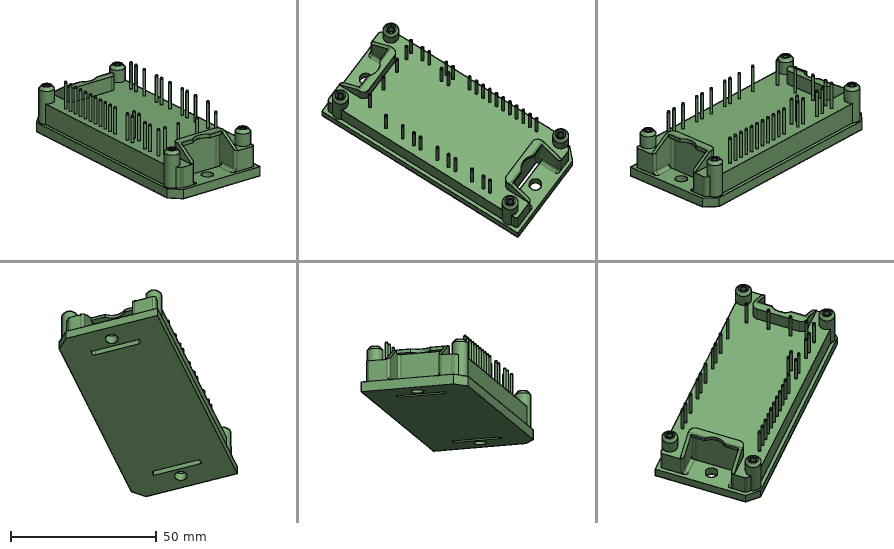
import cadquery as cq
import math

PLATE_LENGTH = 82.0
PLATE_WIDTH = 37.4
PLATE_HEIGHT = 3.5
PLATE_CORNER_CUT = 4.0

BODY_INSET = 1.3
BODY_LENGTH = PLATE_LENGTH - 2 * BODY_INSET
BODY_WIDTH = PLATE_WIDTH - 2 * BODY_INSET
BODY_END_X = BODY_LENGTH / 2
BODY_TOP = 11.2
BODY_CORNER_CUT = 3.2
BODY_CORNER_RADIUS = 1.0

BOSS_X = 35.5
BOSS_Y = 15.4
BOSS_DIAMETER = 5.5
BOSS_TOP = 17.05
BOSS_TIP_DIAMETER = 3.5
BOSS_TIP_HEIGHT = 1.2
BOSS_HOLE_DIAMETER = 2.4
BOSS_HOLE_DEPTH = 8.0
BOSS_HOLE_CORE_DIAMETER = 1.9
BOSS_HOLE_ENTRY_DEPTH = 0.4

MOUNT_HOLE_DIAMETER = 4.3
MOUNT_HOLE_X = BOSS_X
WALL_TOP = 16.5
WALL_THICKNESS = 1.25
WALL_BACK_X = 28.85
WALL_HALF_WIDTH = 10.0
WALL_CORNER_RADIUS = 2.2
RECESS_BACK_X = WALL_BACK_X + WALL_THICKNESS
RECESS_HALF_WIDTH = WALL_HALF_WIDTH - WALL_THICKNESS
RECESS_CORNER_RADIUS = WALL_CORNER_RADIUS - WALL_THICKNESS
SLOPE_OUTER_Z = 11.4
SLOPE_TOP_X = 32.0
SLOPE_CREST_RADIUS = 1.6
MOUTH_RADIUS = 1.0
MOUTH_CENTRE_X = BODY_END_X - MOUTH_RADIUS
MOUTH_CENTRE_Y = RECESS_HALF_WIDTH + MOUTH_RADIUS
FOOT_RADIUS = 1.25

FLOOR_EDGE_X = 32.1
LIP_BOTTOM = 15.15
LIP_NOTCH_RADIUS = 5.0

PIN_DIAMETER = 1.0
PIN_TOP = 21.23
PIN_CHAMFER_HEIGHT = 0.5
PIN_CHAMFER_WIDTH = 0.2
PIN_PITCH = 2.8
FIRST_PIN_X = -26.25
END_ROW_X = 26.25
PIN_ROW_Y = 14.2
SECOND_ROW_Y = -PIN_ROW_Y + PIN_PITCH

BACK_ROW_XS = [FIRST_PIN_X, -23.45, -18.75, -11.75, -8.95, -4.25, 2.75, 5.55, 10.25, 17.25]
COMB_PIN_COUNT = 11
INNER_PAIR_X = 8.75
OUTER_PAIR_X = 18.65
INNER_PAIR_XS = [INNER_PAIR_X, INNER_PAIR_X + PIN_PITCH]
OUTER_PAIR_XS = [OUTER_PAIR_X, OUTER_PAIR_X + PIN_PITCH]
END_ROW_YS = [-PIN_ROW_Y, SECOND_ROW_Y, -5.55, 2.6, 10.75]


def box(x_range, y_range, z_range):
    """Axis-aligned box between the given limits."""
    size = [high - low for low, high in (x_range, y_range, z_range)]
    return cq.Workplane("XY").box(*size, centered=False).translate((x_range[0], y_range[0], z_range[0]))


def cylinder(x, y, diameter, z_low, z_high):
    """Upright cylinder between two heights."""
    return cq.Workplane("XY", origin=(x, y, z_low)).circle(diameter / 2).extrude(z_high - z_low)


def clipped_block(length, width, corner_cut, z_low, z_high):
    """Block whose two -Y corners are cut at 45 degrees."""
    half_length = length / 2
    half_width = width / 2
    outline = [
        (-half_length, half_width),
        (half_length, half_width),
        (half_length, -half_width + corner_cut),
        (half_length - corner_cut, -half_width),
        (-half_length + corner_cut, -half_width),
        (-half_length, -half_width + corner_cut),
    ]
    return cq.Workplane("XY", origin=(0, 0, z_low)).polyline(outline).close().extrude(z_high - z_low)


def make_body():
    """Housing body with its end edges rounded."""
    body = clipped_block(BODY_LENGTH, BODY_WIDTH, BODY_CORNER_CUT, PLATE_HEIGHT, BODY_TOP)
    return body.edges("|Z and (<X or >X)").fillet(BODY_CORNER_RADIUS)


def make_boss(x, y):
    """Corner boss with a tapered tip."""
    tip_width = (BOSS_DIAMETER - BOSS_TIP_DIAMETER) / 2
    boss = cylinder(x, y, BOSS_DIAMETER, PLATE_HEIGHT, BOSS_TOP)
    return boss.faces(">Z").chamfer(BOSS_TIP_HEIGHT, tip_width)


def make_boss_hole(x, y):
    """Stepped blind hole from the top of a boss."""
    core = cylinder(x, y, BOSS_HOLE_CORE_DIAMETER, BOSS_TOP - BOSS_HOLE_DEPTH, BOSS_TOP)
    return core.union(cylinder(x, y, BOSS_HOLE_DIAMETER, BOSS_TOP - BOSS_HOLE_ENTRY_DEPTH, BOSS_TOP))


def make_wall():
    """Raised block of the +X end, sloping down to the end of the body."""
    y_range = (-WALL_HALF_WIDTH, WALL_HALF_WIDTH)
    block = box((WALL_BACK_X, BODY_END_X), y_range, (PLATE_HEIGHT, WALL_TOP))
    block = block.edges("|Z and <X").fillet(WALL_CORNER_RADIUS)
    profile = [
        (WALL_BACK_X, PLATE_HEIGHT),
        (BODY_END_X, PLATE_HEIGHT),
        (BODY_END_X, SLOPE_OUTER_Z),
        (SLOPE_TOP_X, WALL_TOP),
        (WALL_BACK_X, WALL_TOP),
    ]
    slope = cq.Workplane("XZ").polyline(profile).close().extrude(WALL_HALF_WIDTH, both=True)
    crest = cq.selectors.NearestToPointSelector((SLOPE_TOP_X, 0, WALL_TOP))
    return block.intersect(slope.edges(crest).fillet(SLOPE_CREST_RADIUS))


def make_recess():
    """Space inside the wall of the +X end, under and in front of the lip."""
    y_range = (-RECESS_HALF_WIDTH, RECESS_HALF_WIDTH)
    under_lip = box((RECESS_BACK_X, BODY_END_X), y_range, (PLATE_HEIGHT, LIP_BOTTOM))
    under_lip = under_lip.edges("|Z and <X").fillet(RECESS_CORNER_RADIUS)
    in_front = box((FLOOR_EDGE_X, BODY_END_X), y_range, (PLATE_HEIGHT, WALL_TOP))
    notch = cylinder(MOUNT_HOLE_X, 0, 2 * LIP_NOTCH_RADIUS, LIP_BOTTOM, WALL_TOP)
    return under_lip.union(in_front).union(notch)


def make_plate_opening():
    """Opening through the plate below the lip of the +X end."""
    y_range = (-RECESS_HALF_WIDTH, RECESS_HALF_WIDTH)
    opening = box((RECESS_BACK_X, FLOOR_EDGE_X), y_range, (0, PLATE_HEIGHT))
    return opening.edges("|Z and <X").fillet(RECESS_CORNER_RADIUS)


def make_end_rounding():
    """Material outside the rounded upright edge at the +X, +Y mouth of the recess."""
    corner = box((MOUTH_CENTRE_X, BODY_END_X), (RECESS_HALF_WIDTH, MOUTH_CENTRE_Y), (PLATE_HEIGHT, WALL_TOP))
    return corner.cut(cylinder(MOUTH_CENTRE_X, MOUTH_CENTRE_Y, 2 * MOUTH_RADIUS, PLATE_HEIGHT, WALL_TOP))


def foot_profile():
    """Cross-section of the foot in the YZ plane, beside the axis of the rounded mouth edge."""
    wall_y = -MOUTH_RADIUS
    middle = FOOT_RADIUS * (1 - math.sqrt(0.5))
    return (
        cq.Workplane("YZ", origin=(MOUTH_CENTRE_X, MOUTH_CENTRE_Y, PLATE_HEIGHT))
        .moveTo(wall_y, 0)
        .lineTo(wall_y, FOOT_RADIUS)
        .threePointArc((wall_y - middle, middle), (wall_y - FOOT_RADIUS, 0))
        .close()
    )


def make_foot():
    """Concave foot along the +Y side of the +X recess, turning around its rounded mouth edge."""
    foot_z = (PLATE_HEIGHT, PLATE_HEIGHT + FOOT_RADIUS)
    straight = foot_profile().extrude(FLOOR_EDGE_X - MOUTH_CENTRE_X)
    turn = foot_profile().revolve(90, (0, 0, 0), (0, 1, 0))
    limit = box((0, BODY_END_X), (RECESS_HALF_WIDTH - FOOT_RADIUS, MOUTH_CENTRE_Y), foot_z)
    limit = limit.edges("|Z and >X and <Y").fillet(MOUTH_RADIUS)
    return straight.union(turn.intersect(limit))


def make_pin(x, y):
    """Contact pin with a tapered tip, standing on the body."""
    pin = cylinder(x, y, PIN_DIAMETER, BODY_TOP, PIN_TOP)
    return pin.faces(">Z").chamfer(PIN_CHAMFER_HEIGHT, PIN_CHAMFER_WIDTH)


def pin_places():
    """Positions of all contact pins."""
    comb_xs = [FIRST_PIN_X + PIN_PITCH * i for i in range(COMB_PIN_COUNT)]
    front_xs = comb_xs + INNER_PAIR_XS + OUTER_PAIR_XS
    places = [(x, PIN_ROW_Y) for x in BACK_ROW_XS]
    places += [(x, -PIN_ROW_Y) for x in front_xs]
    places += [(x, SECOND_ROW_Y) for x in INNER_PAIR_XS]
    places += [(END_ROW_X, y) for y in END_ROW_YS]
    return places


def at_both_ends(shape):
    """The shape together with its mirror image at the -X end."""
    return shape.union(shape.mirror("YZ"))


def at_both_sides(shape):
    """The shape together with its mirror image on the -Y side."""
    return shape.union(shape.mirror("XZ"))


result = clipped_block(PLATE_LENGTH, PLATE_WIDTH, PLATE_CORNER_CUT, 0, PLATE_HEIGHT)
result = result.union(make_body()).union(at_both_ends(make_wall()))
result = result.cut(at_both_ends(make_recess()))
result = result.cut(at_both_ends(at_both_sides(make_end_rounding())))
result = result.union(at_both_ends(at_both_sides(make_foot())))
result = result.cut(at_both_ends(make_plate_opening()))

for end in (-1, 1):
    mount_hole = cylinder(end * MOUNT_HOLE_X, 0, MOUNT_HOLE_DIAMETER, 0, PLATE_HEIGHT)
    result = result.cut(mount_hole)
    for side in (-1, 1):
        boss_x = end * BOSS_X
        boss_y = side * BOSS_Y
        result = result.union(make_boss(boss_x, boss_y)).cut(make_boss_hole(boss_x, boss_y))

for pin_x, pin_y in pin_places():
    result = result.union(make_pin(pin_x, pin_y))